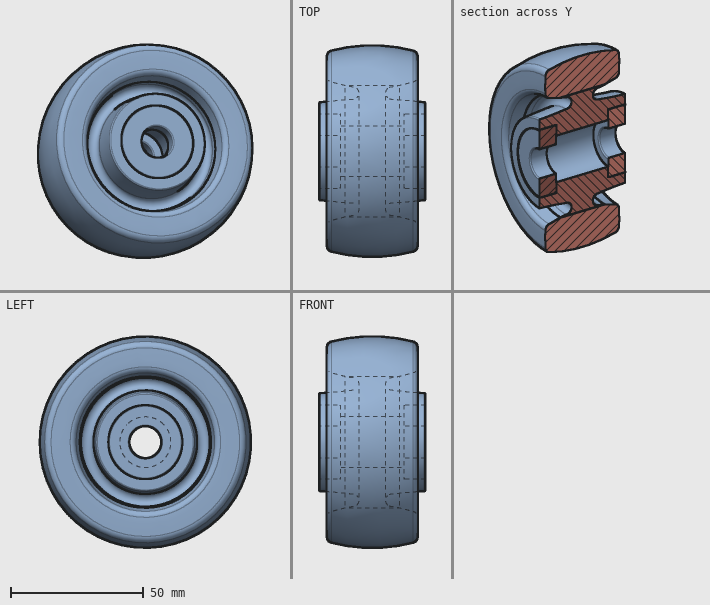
import cadquery as cq
import math


TYRE_RADIUS = 40.0
SHOULDER_RADIUS = 38.0
SHOULDER_HALF_WIDTH = 15.4
SIDE_HALF_WIDTH = 17.2
SIDE_BULGE = 0.2
SIDE_OUTER_RADIUS = 35.6
SIDE_INNER_RADIUS = 28.4
MOUTH_RADIUS = 26.2
MOUTH_HALF_WIDTH = 15.4

RIM_RADIUS = 24.8
RIM_HALF_WIDTH = 10.2
GROOVE_OUTER_RADIUS = 24.3
GROOVE_INNER_RADIUS = 19.6
GROOVE_HALF_WIDTH = 7.6
GROOVE_FLOOR_HALF_WIDTH = 5.0
HUB_RADIUS = 18.6
HUB_HALF_WIDTH = 20.0
HUB_ROUNDING = 0.5
RIM_BORE_RADIUS = 9.6

BEARING_RADIUS = 14.0
BEARING_LENGTH = 8.0
BEARING_BORE_RADIUS = 6.0
BEARING_ROUNDING = 0.5


def revolve_about_x(profile):
    """Revolve a closed XY profile, with Y as radius, around the X axis."""
    return profile.close().revolve(360, (0, 0, 0), (1, 0, 0))


def round_between(start, end, start_direction):
    """Middle point of the arc that leaves start along start_direction and reaches end."""
    dx = end[0] - start[0]
    dy = end[1] - start[1]
    chord = math.hypot(dx, dy)
    turn = math.atan2(dy, dx) - math.atan2(start_direction[1], start_direction[0])
    turn = math.remainder(turn, 2 * math.pi)
    sagitta = chord / 2 * math.tan(turn / 2)
    return (
        (start[0] + end[0]) / 2 + sagitta * dy / chord,
        (start[1] + end[1]) / 2 - sagitta * dx / chord,
    )


def mirrored(point):
    return (-point[0], point[1])


def make_tyre():
    rim_edge = (RIM_HALF_WIDTH, RIM_RADIUS)
    mouth = (MOUTH_HALF_WIDTH, MOUTH_RADIUS)
    side_inner = (SIDE_HALF_WIDTH, SIDE_INNER_RADIUS)
    side_middle = (SIDE_HALF_WIDTH + SIDE_BULGE, (SIDE_INNER_RADIUS + SIDE_OUTER_RADIUS) / 2)
    side_outer = (SIDE_HALF_WIDTH, SIDE_OUTER_RADIUS)
    shoulder = (SHOULDER_HALF_WIDTH, SHOULDER_RADIUS)
    wall_direction = (mouth[0] - rim_edge[0], mouth[1] - rim_edge[1])
    mouth_middle = round_between(mouth, side_inner, wall_direction)
    shoulder_middle = round_between(side_outer, shoulder, (0, 1))
    profile = (
        cq.Workplane("XY")
        .moveTo(*mirrored(rim_edge))
        .lineTo(*rim_edge)
        .lineTo(*mouth)
        .threePointArc(mouth_middle, side_inner)
        .threePointArc(side_middle, side_outer)
        .threePointArc(shoulder_middle, shoulder)
        .threePointArc((0, TYRE_RADIUS), mirrored(shoulder))
        .threePointArc(mirrored(shoulder_middle), mirrored(side_outer))
        .threePointArc(mirrored(side_middle), mirrored(side_inner))
        .threePointArc(mirrored(mouth_middle), mirrored(mouth))
    )
    return revolve_about_x(profile)


def make_rim():
    groove_outer = (GROOVE_HALF_WIDTH, GROOVE_OUTER_RADIUS)
    groove_floor = (GROOVE_FLOOR_HALF_WIDTH, (GROOVE_OUTER_RADIUS + GROOVE_INNER_RADIUS) / 2)
    groove_inner = (GROOVE_HALF_WIDTH, GROOVE_INNER_RADIUS)
    rim_edge = (RIM_HALF_WIDTH, RIM_RADIUS)
    hub_side = (HUB_HALF_WIDTH - HUB_ROUNDING, HUB_RADIUS)
    hub_face = (HUB_HALF_WIDTH, HUB_RADIUS - HUB_ROUNDING)
    side_direction = (hub_side[0] - groove_inner[0], hub_side[1] - groove_inner[1])
    hub_middle = round_between(hub_side, hub_face, side_direction)
    seat_mouth = (HUB_HALF_WIDTH, BEARING_RADIUS)
    seat_corner = (HUB_HALF_WIDTH - BEARING_LENGTH, BEARING_RADIUS)
    bore_edge = (HUB_HALF_WIDTH - BEARING_LENGTH, RIM_BORE_RADIUS)
    profile = (
        cq.Workplane("XY")
        .moveTo(*mirrored(rim_edge))
        .lineTo(*rim_edge)
        .lineTo(*groove_outer)
        .threePointArc(groove_floor, groove_inner)
        .lineTo(*hub_side)
        .threePointArc(hub_middle, hub_face)
        .lineTo(*seat_mouth)
        .lineTo(*seat_corner)
        .lineTo(*bore_edge)
        .lineTo(*mirrored(bore_edge))
        .lineTo(*mirrored(seat_corner))
        .lineTo(*mirrored(seat_mouth))
        .lineTo(*mirrored(hub_face))
        .threePointArc(mirrored(hub_middle), mirrored(hub_side))
        .lineTo(*mirrored(groove_inner))
        .threePointArc(mirrored(groove_floor), mirrored(groove_outer))
    )
    return revolve_about_x(profile)


def make_bearing(side):
    """Bearing at the -X end (side = -1) or the +X end (side = 1) of the hub."""
    bearing = cq.Workplane("YZ").circle(BEARING_RADIUS).circle(BEARING_BORE_RADIUS).extrude(BEARING_LENGTH)
    bearing = bearing.faces("<X or >X").edges().fillet(BEARING_ROUNDING)
    start = HUB_HALF_WIDTH - BEARING_LENGTH if side > 0 else -HUB_HALF_WIDTH
    return bearing.translate((start, 0, 0))


tyre = make_tyre()
rim = make_rim()
bearings = [make_bearing(side) for side in (-1, 1)]

result = cq.Compound.makeCompound([tyre.val(), rim.val(), *[bearing.val() for bearing in bearings]])